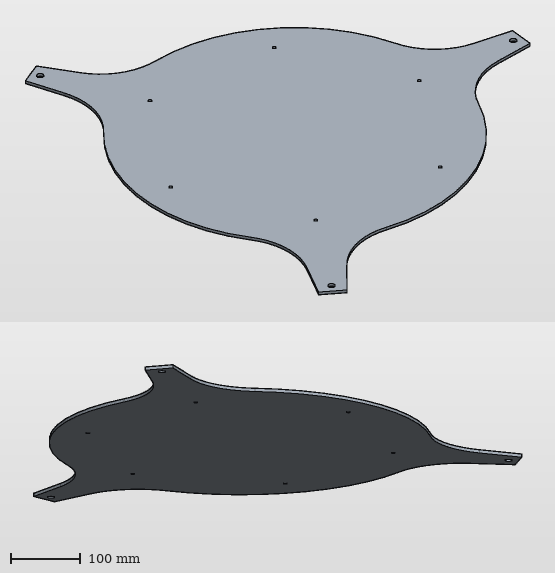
import cadquery as cq
import math

overall_width = 730.0
thickness = 5.0
disk_radius = 274.5
arm_reach = 409.5
arm_flare_slope = 0.125
arm_blend_radius = 109.5
arm_count = 3
arm_hole_diameter = 10.0
arm_hole_reach = 395.0
disk_hole_diameter = 5.0
disk_hole_reach = 225.0
disk_hole_count = 6

arm_step = 360.0 / arm_count
lower_arm_angle = math.radians(arm_step - 90.0)
tip_half_width = (overall_width / 2 - arm_reach * math.cos(lower_arm_angle)) / math.sin(lower_arm_angle)
root_half_width = tip_half_width + arm_reach * arm_flare_slope


def flank_disk_height():
    """Y where the straight flank of the upper arm meets the disk edge."""
    a = 1 + arm_flare_slope**2
    b = -root_half_width * arm_flare_slope
    c = root_half_width**2 - disk_radius**2
    return (-b + math.sqrt(b**2 - a * c)) / a


def make_arm(angle):
    """Tapered arm from the disk centre, turned from +Y by the given angle."""
    arm = (
        cq.Workplane("XY")
        .polyline([
            (-root_half_width, 0),
            (-tip_half_width, arm_reach),
            (tip_half_width, arm_reach),
            (root_half_width, 0),
        ])
        .close()
        .extrude(thickness)
    )
    return arm.rotate((0, 0, 0), (0, 0, 1), angle)


def drill_ring(body, reach, diameter, count):
    """Through holes evenly spaced on a circle, the first one on +Y."""
    return (
        body.faces(">Z")
        .workplane(origin=(0, 0, thickness))
        .polarArray(reach, 90, 360, count)
        .hole(diameter)
    )


plate = cq.Workplane("XY").circle(disk_radius).extrude(thickness)
for index in range(arm_count):
    plate = plate.union(make_arm(index * arm_step))

corner_y = flank_disk_height()
corner_x = root_half_width - corner_y * arm_flare_slope
corner_spread = math.degrees(math.atan2(corner_x, corner_y))
for index in range(arm_count):
    for side in (-1, 1):
        angle = math.radians(90 + index * arm_step + side * corner_spread)
        corner = (disk_radius * math.cos(angle), disk_radius * math.sin(angle), thickness / 2)
        plate = plate.edges("|Z").edges(cq.NearestToPointSelector(corner)).fillet(arm_blend_radius)

plate = drill_ring(plate, arm_hole_reach, arm_hole_diameter, arm_count)
plate = drill_ring(plate, disk_hole_reach, disk_hole_diameter, disk_hole_count)

result = plate